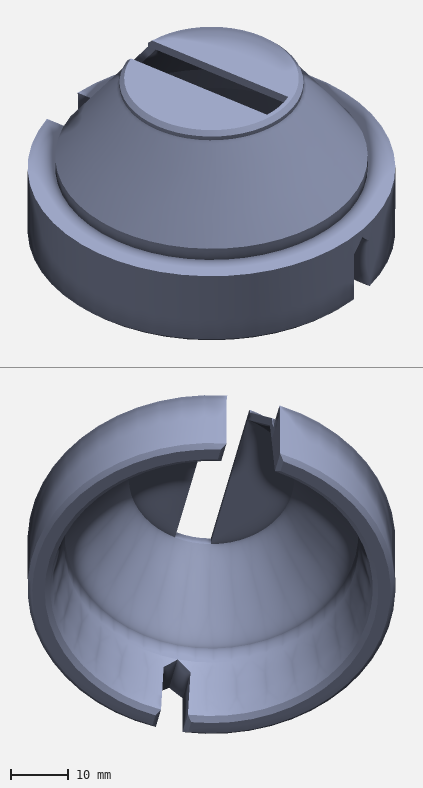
import cadquery as cq

total_height = 33.3375
roof_thickness = 1.5875
roof_underside = total_height - roof_thickness
cone_base_height = 16.66875
flange_height = 14.2875
skirt_height = 12.7

flange_radius = 31.75
shoulder_radius = 26.9875
crown_radius = 15.875

wall_thickness = 1.5875
cavity_top_radius = crown_radius - wall_thickness
cavity_radius = shoulder_radius - wall_thickness
cavity_mouth_radius = 28.0

slot_top_half_width = 3.175
slot_bottom_half_width = 4.7625

notch_half_width = 2.38125
notch_eave_height = skirt_height - notch_half_width

edge_chamfer = 0.79375


def make_shell():
    """Hollow stepped cone, open at the bottom, revolved about Z."""
    return (
        cq.Workplane("XZ")
        .moveTo(0, total_height)
        .lineTo(crown_radius - edge_chamfer, total_height)
        .lineTo(crown_radius, total_height - edge_chamfer)
        .lineTo(crown_radius, roof_underside)
        .lineTo(shoulder_radius, cone_base_height)
        .lineTo(shoulder_radius, flange_height)
        .lineTo(flange_radius, flange_height)
        .lineTo(flange_radius, 0)
        .lineTo(cavity_mouth_radius, 0)
        .lineTo(cavity_radius, skirt_height)
        .lineTo(cavity_radius, cone_base_height)
        .lineTo(cavity_top_radius, roof_underside)
        .lineTo(0, roof_underside)
        .close()
        .revolve(360, (0, 0, 0), (0, 1, 0))
    )


def make_side_slot():
    """Slot open to -X: straight at the roof, flaring over the cone, straight through the skirt."""
    return (
        cq.Workplane("YZ")
        .moveTo(-slot_bottom_half_width, 0)
        .lineTo(-slot_bottom_half_width, skirt_height)
        .lineTo(-slot_top_half_width, roof_underside)
        .lineTo(-slot_top_half_width, total_height)
        .lineTo(slot_top_half_width, total_height)
        .lineTo(slot_top_half_width, roof_underside)
        .lineTo(slot_bottom_half_width, skirt_height)
        .lineTo(slot_bottom_half_width, 0)
        .close()
        .extrude(-flange_radius)
    )


def make_roof_slot():
    """Part of the roof slot beyond the axis, ended by the round cavity wall."""
    strip = cq.Workplane("XY").box(
        cavity_top_radius, 2 * slot_top_half_width, total_height, centered=(False, True, False)
    )
    return strip.intersect(cq.Workplane("XY").circle(cavity_top_radius).extrude(total_height))


def make_notch():
    """Peaked notch running from the axis out through the +X wall."""
    return (
        cq.Workplane("YZ")
        .moveTo(-notch_half_width, 0)
        .lineTo(-notch_half_width, notch_eave_height)
        .lineTo(0, skirt_height)
        .lineTo(notch_half_width, notch_eave_height)
        .lineTo(notch_half_width, 0)
        .close()
        .extrude(flange_radius)
    )


body = make_shell().cut(make_side_slot()).cut(make_roof_slot()).cut(make_notch())

result = body.faces("<Z").edges().chamfer(edge_chamfer)